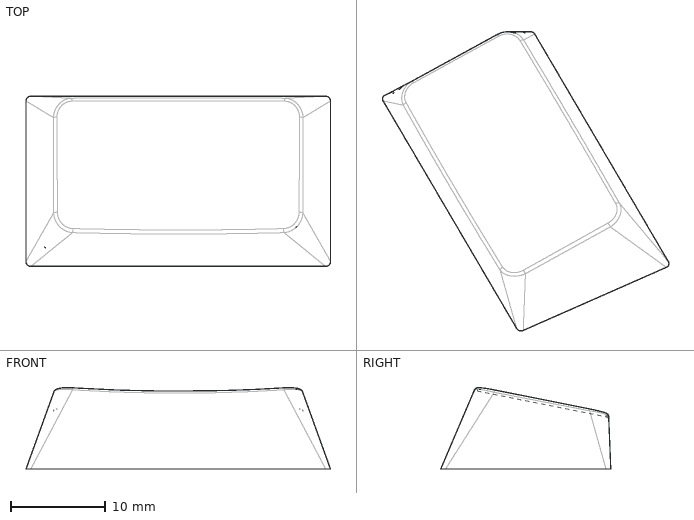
import cadquery as cq
import math

BASE_LENGTH = 32.4
BASE_WIDTH = 18.1
BASE_CORNER_RADIUS = 0.52

TOP_LENGTH = 26.3
TOP_FRONT_Y = -5.28
TOP_FRONT_Z = 8.85
TOP_BACK_Y = 8.8
TOP_BACK_Z = 6.02
TOP_CORNER_RADIUS = 2.15

DISH_DEPTH = 0.52
RIM_RADIUS = 0.4

TOP_RISE = TOP_FRONT_Z - TOP_BACK_Z
TOP_RUN = TOP_BACK_Y - TOP_FRONT_Y
TOP_WIDTH = math.hypot(TOP_RUN, TOP_RISE)
TOP_TILT = math.degrees(math.atan2(TOP_RISE, TOP_RUN))
TOP_CENTRE = (0, (TOP_FRONT_Y + TOP_BACK_Y) / 2, (TOP_FRONT_Z + TOP_BACK_Z) / 2)

DISH_RADIUS = ((TOP_LENGTH / 2) ** 2 + DISH_DEPTH ** 2) / (2 * DISH_DEPTH)
DISH_CUTTER_LENGTH = 2 * BASE_WIDTH


def rounded_rectangle_wire(plane, length, width, corner_radius):
    """Closed outline centred on the plane's origin."""
    outline = cq.Workplane(plane).rect(length, width).val()
    return outline.fillet2D(corner_radius, outline.Vertices())


def tilted_top_plane():
    """Plane of the top: local X along the length, local Y down the slope to the back."""
    tilt = math.radians(TOP_TILT)
    normal = (0, math.sin(tilt), math.cos(tilt))
    return cq.Plane(origin=TOP_CENTRE, xDir=(1, 0, 0), normal=normal)


def tapered_body(top_plane):
    """Straight-sided loft from the base to the sloping top."""
    base = rounded_rectangle_wire(cq.Plane.XY(), BASE_LENGTH, BASE_WIDTH, BASE_CORNER_RADIUS)
    top = rounded_rectangle_wire(top_plane, TOP_LENGTH, TOP_WIDTH, TOP_CORNER_RADIUS)
    return cq.Workplane(cq.Solid.makeLoft([base, top], True))


def dish_cutter(top_plane):
    """Large cylinder whose axis runs along the slope above the top."""
    along_slope = top_plane.yDir
    axis_start = top_plane.toWorldCoords((0, -DISH_CUTTER_LENGTH / 2, DISH_RADIUS - DISH_DEPTH))
    return cq.Workplane(cq.Solid.makeCylinder(DISH_RADIUS, DISH_CUTTER_LENGTH, axis_start, along_slope))


top_plane = tilted_top_plane()
dished_body = tapered_body(top_plane).cut(dish_cutter(top_plane))
dished_face = dished_body.faces(cq.selectors.NearestToPointSelector(TOP_CENTRE))
result = dished_face.edges().fillet(RIM_RADIUS)